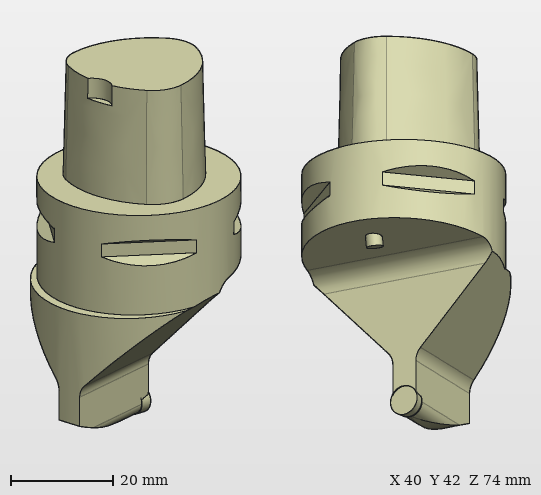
import cadquery as cq
import math

TOTAL_HEIGHT = 74.0
COLLAR_TOP = 50.0
COLLAR_RADIUS = 40.0 / 2

SHANK_LOBE_RADIUS = 7.8
SHANK_LOBE_OFFSET = 7.2
SHANK_TAPER = math.degrees(math.atan(1 / 40))
NOTCH_RADIUS = 3.85
NOTCH_CENTER_Y = -14.65
NOTCH_DEPTH = 4.2

GROOVE_COUNT = 4
GROOVE_START_ANGLE = 45.0
GROOVE_Z = 42.0
GROOVE_FLOOR_DISTANCE = 17.7
GROOVE_FLOOR_HEIGHT = 2.75
GROOVE_WALL_ANGLE = 30.0

HOLDER_RADIUS = COLLAR_RADIUS
HOLDER_OFFSET = 2.0
SHOULDER_Z = 28.65
SHOULDER_SLOPE = 2.4

BLADE_FACE_Y = -0.2
RELIEF_EDGE_Z = 33.9
RELIEF_SLOPE = 5.0
RELIEF_FILLET = 4.1

BLADE_HALF_WIDTH = 2.6
BLADE_NECK_Z = 12.35
FLANK_ANGLE = 46.0
NECK_FILLET = 3.7
HEEL_RADIUS = 47.35
HEEL_LOW_Y = -2.2

INSERT_RADIUS = 6.0 / 2
INSERT_BACK_RADIUS = 2.75
INSERT_THICKNESS = 2.45

NOZZLE_DIAMETER = 3.3
NOZZLE_TIP_Y = 11.6
NOZZLE_TIP_Z = 31.2
NOZZLE_TILT = 11.0
NOZZLE_LENGTH = 5.9

CUT_MARGIN = 0.75


def polar(radius, degrees):
    angle = math.radians(degrees)
    return radius * math.cos(angle), radius * math.sin(angle)


def make_shank():
    """Rounded three-lobed prism with one lobe towards +Y, tapering upwards."""
    flat_radius = SHANK_LOBE_RADIUS + math.sqrt(3) * SHANK_LOBE_OFFSET

    def on_lobe(lobe_angle, direction):
        center_x, center_y = polar(SHANK_LOBE_OFFSET, lobe_angle)
        dx, dy = polar(SHANK_LOBE_RADIUS, direction)
        return center_x + dx, center_y + dy

    outline = cq.Workplane("XY", origin=(0, 0, COLLAR_TOP)).moveTo(*on_lobe(90, 60))
    for lobe_angle in (90, 210, 330):
        flat_middle = polar(flat_radius - SHANK_LOBE_OFFSET, lobe_angle + 60)
        outline = outline.threePointArc(on_lobe(lobe_angle, lobe_angle), on_lobe(lobe_angle, lobe_angle + 30))
        outline = outline.threePointArc(flat_middle, on_lobe(lobe_angle + 120, lobe_angle + 90))
    shank = outline.close().extrude(TOTAL_HEIGHT - COLLAR_TOP, taper=SHANK_TAPER)
    notch = (
        cq.Workplane("XY", origin=(0, NOTCH_CENTER_Y, TOTAL_HEIGHT - NOTCH_DEPTH))
        .circle(NOTCH_RADIUS)
        .extrude(NOTCH_DEPTH)
    )
    return shank.cut(notch)


def make_groove(angle):
    """Flared cutter for one straight groove, its floor facing the given direction."""
    depth = 2 * (COLLAR_RADIUS - GROOVE_FLOOR_DISTANCE)
    half_floor = GROOVE_FLOOR_HEIGHT / 2
    half_mouth = half_floor + depth * math.tan(math.radians(GROOVE_WALL_ANGLE))
    mouth_distance = GROOVE_FLOOR_DISTANCE + depth
    return (
        cq.Workplane("XZ")
        .polyline([
            (GROOVE_FLOOR_DISTANCE, GROOVE_Z - half_floor),
            (mouth_distance, GROOVE_Z - half_mouth),
            (mouth_distance, GROOVE_Z + half_mouth),
            (GROOVE_FLOOR_DISTANCE, GROOVE_Z + half_floor),
        ])
        .close()
        .extrude(COLLAR_RADIUS, both=True)
        .rotate((0, 0, 0), (0, 0, 1), angle)
    )


def make_collar_and_holder():
    """Collar cylinder joined to the offset holder cylinder below the shoulder."""
    collar = cq.Workplane("XY").circle(COLLAR_RADIUS).extrude(COLLAR_TOP)
    rim_y = -HOLDER_OFFSET - HOLDER_RADIUS
    shoulder_rise = -rim_y * math.tan(math.radians(SHOULDER_SLOPE))
    below_shoulder = (
        cq.Workplane("YZ")
        .polyline([(rim_y, 0), (0, 0), (0, SHOULDER_Z + shoulder_rise), (rim_y, SHOULDER_Z)])
        .close()
        .extrude(HOLDER_RADIUS, both=True)
    )
    holder = (
        cq.Workplane("XY", origin=(0, -HOLDER_OFFSET, 0))
        .circle(HOLDER_RADIUS)
        .extrude(COLLAR_TOP)
        .intersect(below_shoulder)
    )
    return collar.union(holder)


def make_blade_envelope():
    """XZ outline of the holder: round blade tip, straight sides and sloping flanks."""
    reach = HOLDER_RADIUS + HOLDER_OFFSET
    flank_rise = (reach - BLADE_HALF_WIDTH) * math.tan(math.radians(FLANK_ANGLE))
    return (
        cq.Workplane("XZ")
        .moveTo(-BLADE_HALF_WIDTH, INSERT_RADIUS)
        .threePointArc((0, INSERT_RADIUS - BLADE_HALF_WIDTH), (BLADE_HALF_WIDTH, INSERT_RADIUS))
        .lineTo(BLADE_HALF_WIDTH, BLADE_NECK_Z)
        .lineTo(reach, BLADE_NECK_Z + flank_rise)
        .lineTo(reach, COLLAR_TOP)
        .lineTo(-reach, COLLAR_TOP)
        .lineTo(-reach, BLADE_NECK_Z + flank_rise)
        .lineTo(-BLADE_HALF_WIDTH, BLADE_NECK_Z)
        .close()
        .extrude(reach, both=True)
        .edges(cq.selectors.BoxSelector(
            (-BLADE_HALF_WIDTH - CUT_MARGIN, -CUT_MARGIN, BLADE_NECK_Z - CUT_MARGIN),
            (BLADE_HALF_WIDTH + CUT_MARGIN, CUT_MARGIN, BLADE_NECK_Z + CUT_MARGIN),
        ))
        .fillet(NECK_FILLET)
    )


def make_relief():
    """Open space under the collar, bounded by the blade face, with a rounded inner corner."""
    outer_y = 2 * COLLAR_RADIUS
    slope = math.tan(math.radians(RELIEF_SLOPE))
    return (
        cq.Workplane("YZ")
        .polyline([
            (BLADE_FACE_Y, -CUT_MARGIN),
            (outer_y, -CUT_MARGIN),
            (outer_y, RELIEF_EDGE_Z + (outer_y - COLLAR_RADIUS) * slope),
            (BLADE_FACE_Y, RELIEF_EDGE_Z - (COLLAR_RADIUS - BLADE_FACE_Y) * slope),
        ])
        .close()
        .extrude(2 * COLLAR_RADIUS, both=True)
        .edges(cq.selectors.NearestToPointSelector((0, BLADE_FACE_Y, RELIEF_EDGE_Z)))
        .fillet(RELIEF_FILLET)
    )


def make_heel_clearance():
    """Space below the arc that lifts the blade's underside away from the tip."""
    low_z = INSERT_RADIUS - BLADE_HALF_WIDTH
    end_y = -HOLDER_OFFSET - HOLDER_RADIUS - CUT_MARGIN

    def heel_point(y):
        drop = math.sqrt(HEEL_RADIUS ** 2 - (y - HEEL_LOW_Y) ** 2)
        return y, low_z + HEEL_RADIUS - drop

    return (
        cq.Workplane("YZ")
        .moveTo(HEEL_LOW_Y, low_z)
        .threePointArc(heel_point((HEEL_LOW_Y + end_y) / 2), heel_point(end_y))
        .lineTo(end_y, -CUT_MARGIN)
        .lineTo(HEEL_LOW_Y, -CUT_MARGIN)
        .close()
        .extrude(2 * BLADE_HALF_WIDTH, both=True)
    )


def make_nozzle():
    """Tilted stub that leaves the collar underside and points at the blade tip."""
    tilt = math.radians(NOZZLE_TILT)
    axis = cq.Vector(0, math.sin(tilt), math.cos(tilt))
    tip = cq.Vector(0, NOZZLE_TIP_Y, NOZZLE_TIP_Z)
    return cq.Workplane(cq.Solid.makeCylinder(NOZZLE_DIAMETER / 2, NOZZLE_LENGTH, tip, axis))


def make_insert():
    """Round cutting insert whose front face lies on the tool axis."""
    return cq.Workplane(cq.Solid.makeCone(
        INSERT_RADIUS,
        INSERT_BACK_RADIUS,
        INSERT_THICKNESS,
        cq.Vector(0, 0, INSERT_RADIUS),
        cq.Vector(0, -1, 0),
    ))


def make_holder(insert):
    """Complete tool holder with a seat matching the insert."""
    body = make_collar_and_holder().intersect(make_blade_envelope())
    body = body.cut(make_relief()).cut(make_heel_clearance())
    for index in range(GROOVE_COUNT):
        body = body.cut(make_groove(GROOVE_START_ANGLE + index * 360 / GROOVE_COUNT))
    return body.union(make_shank()).union(make_nozzle()).cut(insert)


insert = make_insert()
holder = make_holder(insert)

result = cq.Compound.makeCompound([holder.solids().val(), insert.val()])